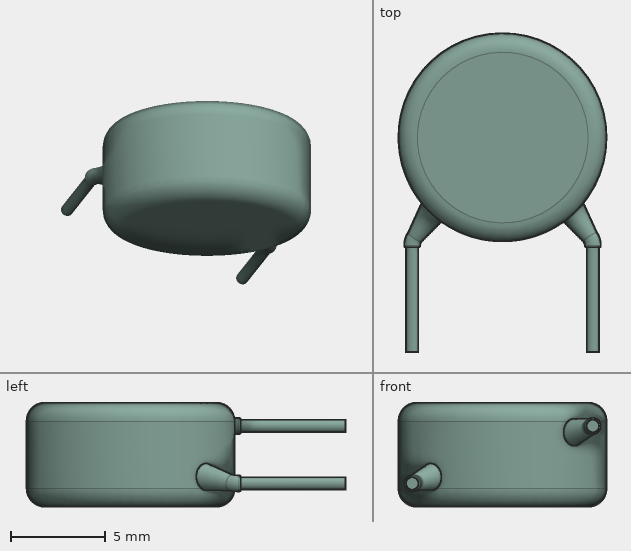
import cadquery as cq
import math

overall_length = 16.84
disc_diameter = 11.0
disc_height = 5.5
disc_edge_radius = 1.0

lead_diameter = 0.65
lead_pitch = 9.53
lead_height_gap = 3.03

sleeve_diameter = 0.86
sleeve_end_distance = 5.81
bend_radius = 0.75
bend_angle = 36.0
bend_tilt = 17.5
cone_half_angle = 10.0
cone_length = 3.03

disc_radius = disc_diameter / 2
lead_tip_y = disc_radius - overall_length
sleeve_end_y = -sleeve_end_distance
lead_radius = lead_diameter / 2
sleeve_radius = sleeve_diameter / 2
sleeve_lip_radius = sleeve_radius - lead_radius
bend_start_y = sleeve_end_y + sleeve_lip_radius


def make_disc():
    """Capacitor disc, centred on the origin with rounded rims."""
    return (
        cq.Workplane("XY")
        .cylinder(disc_height, disc_radius)
        .edges("%CIRCLE")
        .fillet(disc_edge_radius)
    )


def cylinder_along_y(radius, start_y, end_y):
    """Cylinder on the Y axis running from start_y up to end_y."""
    return (
        cq.Workplane("XZ", origin=(0, start_y, 0))
        .circle(radius)
        .extrude(start_y - end_y)
    )


def place_on_side(shape, side_turn):
    """Move a shape from the Y axis to the low left lead, then turn it about Y to its side."""
    return (
        shape.translate((-lead_pitch / 2, 0, -lead_height_gap / 2))
        .rotate((0, 0, 0), (0, 1, 0), side_turn)
    )


def make_sleeve():
    """Rounded lip, elbow and widening cone around the Y axis, with a socket for the lead."""
    turn = math.radians(bend_angle)
    cone_start = cq.Vector(
        bend_radius * (1 - math.cos(turn)),
        bend_start_y + bend_radius * math.sin(turn),
        0,
    )
    cone_axis = cq.Vector(math.sin(turn), math.cos(turn), 0)
    cone_end_radius = sleeve_radius + cone_length * math.tan(math.radians(cone_half_angle))

    lip = (
        cq.Workplane("XY")
        .moveTo(lead_radius, bend_start_y)
        .lineTo(sleeve_radius, bend_start_y)
        .radiusArc((lead_radius, sleeve_end_y), sleeve_lip_radius)
        .close()
        .revolve(360, (0, 0, 0), (0, 1, 0))
    )
    elbow = (
        cq.Workplane("XZ", origin=(0, bend_start_y, 0))
        .circle(sleeve_radius)
        .revolve(bend_angle, (bend_radius, 0.17, 0), (bend_radius, 0, 0))
    )
    cone = cq.Workplane(
        cq.Solid.makeCone(sleeve_radius, cone_end_radius, cone_length, cone_start, cone_axis)
    )
    sleeve = lip.union(elbow).union(cone)
    return sleeve.rotate((0, 0, 0), (0, 1, 0), -bend_tilt)


def make_lead():
    """Straight wire on the Y axis, seated in the sleeve as far as the elbow."""
    return cylinder_along_y(lead_radius, lead_tip_y, bend_start_y)


side_turns = (0, 180)
coated_body = make_disc()
for side_turn in side_turns:
    coated_body = coated_body.union(place_on_side(make_sleeve(), side_turn))

leads = [place_on_side(make_lead(), side_turn).val() for side_turn in side_turns]

result = cq.Compound.makeCompound([coated_body.solids().val(), *leads])